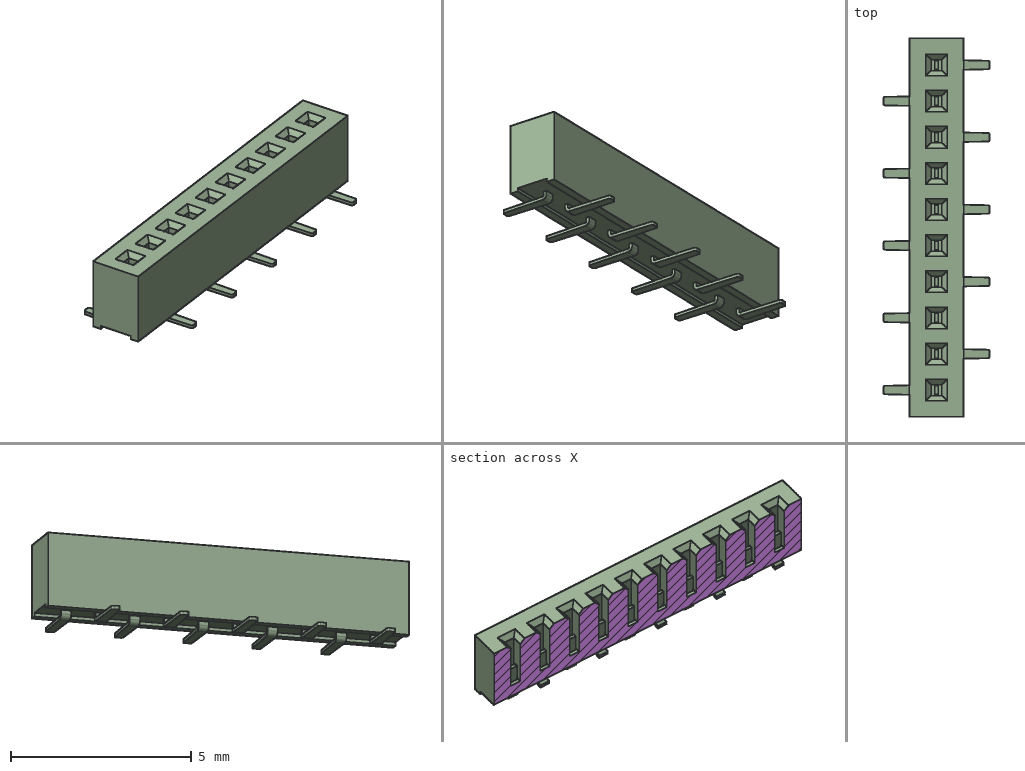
import cadquery as cq

body_length = 10.5
body_width = 1.5
overall_height = 2.25
body_height = 2.1
body_bottom = overall_height - body_height

channel_width = 1.0
channel_depth = 0.1
channel_top = body_bottom + channel_depth

contact_count = 10
row_end_margin = 0.75
pitch = (body_length - 2 * row_end_margin) / (contact_count - 1)

socket_mouth = 0.6
socket_throat = 0.3
lead_in_depth = (socket_mouth - socket_throat) / 2
well_depth = 1.58

contact_thickness = 0.1
blade_width = 0.24
blade_recess = 1.05
blade_top = overall_height - blade_recess
lead_root_width = 0.29
lead_tip_width = 0.24
lead_span = 2.95
lead_reach = lead_span / 2
bend_inner_radius = 0.04
bend_outer_radius = bend_inner_radius + contact_thickness
tip_corner_radius = 0.058


def make_housing():
    """Rectangular housing with a channel along its underside, leaving two rails."""
    block = cq.Workplane("XY").box(body_width, body_length, body_height, centered=(True, True, False))
    channel = cq.Workplane("XY").box(channel_width, body_length, channel_depth, centered=(True, True, False))
    return block.cut(channel).translate((0, 0, body_bottom))


def make_socket():
    """Cutting solid for one socket, centred on the origin in X and Y."""
    lead_in = (
        cq.Workplane("XY", origin=(0, 0, overall_height))
        .rect(socket_mouth, socket_mouth)
        .workplane(offset=-lead_in_depth)
        .rect(socket_throat, socket_throat)
        .loft(ruled=True)
    )
    well = (
        cq.Workplane("XY", origin=(0, 0, overall_height - well_depth))
        .rect(socket_throat, socket_throat)
        .extrude(well_depth - lead_in_depth)
    )
    return lead_in.union(well)


def make_contact():
    """Narrow upright blade on a wider foot that bends into a flat, tapering lead along +X."""
    half_thickness = contact_thickness / 2
    bend_end = bend_outer_radius - half_thickness
    strip = (
        cq.Workplane("XZ")
        .moveTo(-half_thickness, channel_top)
        .lineTo(-half_thickness, bend_outer_radius)
        .radiusArc((bend_end, 0), -bend_outer_radius)
        .lineTo(lead_reach, 0)
        .lineTo(lead_reach, contact_thickness)
        .lineTo(bend_end, contact_thickness)
        .radiusArc((half_thickness, bend_outer_radius), bend_inner_radius)
        .lineTo(half_thickness, channel_top)
        .close()
        .extrude(lead_root_width / 2, both=True)
    )
    plan = (
        cq.Workplane("XY")
        .polyline([
            (-half_thickness, -lead_root_width / 2),
            (bend_end, -lead_root_width / 2),
            (lead_reach, -lead_tip_width / 2),
            (lead_reach, lead_tip_width / 2),
            (bend_end, lead_root_width / 2),
            (-half_thickness, lead_root_width / 2),
        ])
        .close()
        .extrude(channel_top)
        .edges("|Z and >X")
        .fillet(tip_corner_radius)
    )
    blade = (
        cq.Workplane("XY", origin=(0, 0, channel_top))
        .rect(contact_thickness, blade_width)
        .extrude(blade_top - channel_top)
    )
    return strip.intersect(plan).union(blade)


result = make_housing()
socket = make_socket()
right_contact = make_contact()
left_contact = right_contact.rotate((0, 0, 0), (0, 0, 1), 180)

first_contact_y = row_end_margin - body_length / 2
for index in range(contact_count):
    position = (0, first_contact_y + index * pitch, 0)
    contact = left_contact if index % 2 == 0 else right_contact
    result = result.cut(socket.translate(position)).union(contact.translate(position))